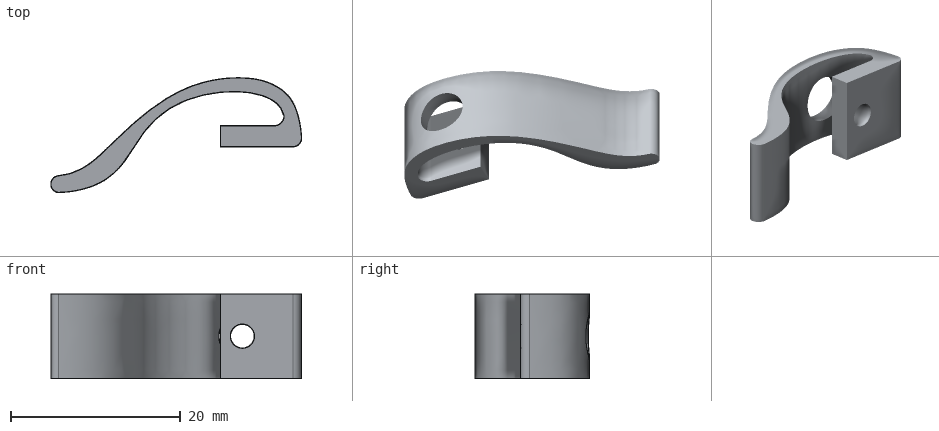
import cadquery as cq

length = 29.6
depth = 13.55
width = 10.0

tip_thickness = 2.0
tip_end_x = 0.9

foot_start_x = 20.0
foot_front_y = 5.4
foot_thickness = 2.5
foot_back_y = foot_front_y + foot_thickness
corner_radius = 1.05
throat_x = 27.5
throat_radius = 1.15

hole_x = 22.6
screw_diameter = 2.8
access_diameter = 5.5

back_start = (tip_end_x, tip_thickness)
back_end = (length, foot_front_y + corner_radius)
back_curve = [
    (3.6, 2.8),
    (7.3, 5.85),
    (11.6, 9.68),
    (16.4, 12.48),
    (22.2, depth),
    (26.0, 12.85),
    (28.2, 11.2),
    (29.2, 9.0),
]

front_start = (throat_x, foot_back_y + throat_radius)
front_end = (tip_end_x, 0.0)
front_curve = [
    (26.5, 10.65),
    (24.95, 11.43),
    (22.0, 11.9),
    (18.0, 11.5),
    (14.0, 9.9),
    (11.0, 7.12),
    (8.4, 3.3),
    (6.25, 1.4),
    (3.6, 0.35),
]


def clip_body():
    """Constant profile of the spring clip, extruded over its width."""
    diagonal = 0.5 ** 0.5
    corner_mid = (
        length - corner_radius * (1 - diagonal),
        foot_front_y + corner_radius * (1 - diagonal),
    )
    throat_mid = (
        throat_x - throat_radius * (1 - diagonal),
        foot_back_y + throat_radius * (1 - diagonal),
    )
    return (
        cq.Workplane("XY")
        .moveTo(*back_start)
        .spline(back_curve + [back_end], includeCurrent=True)
        .threePointArc(corner_mid, (length - corner_radius, foot_front_y))
        .lineTo(foot_start_x, foot_front_y)
        .lineTo(foot_start_x, foot_back_y)
        .lineTo(throat_x - throat_radius, foot_back_y)
        .threePointArc(throat_mid, front_start)
        .spline(front_curve + [front_end], includeCurrent=True)
        .threePointArc((0.0, tip_thickness / 2), back_start)
        .close()
        .extrude(width)
    )


def cross_hole(diameter, start_y, end_y):
    """Cylinder along Y at the common hole axis, spanning start_y to end_y."""
    return (
        cq.Workplane("XZ", origin=(hole_x, start_y, width / 2))
        .circle(diameter / 2)
        .extrude(start_y - end_y)
    )


gap_y = foot_back_y + foot_thickness / 2
hole_overrun = 1.0
screw_hole = cross_hole(screw_diameter, 0.0, gap_y)
access_hole = cross_hole(access_diameter, gap_y, depth + hole_overrun)

result = clip_body().cut(screw_hole).cut(access_hole)